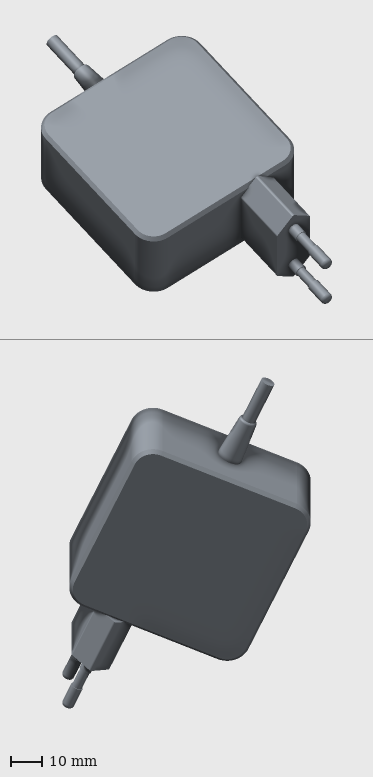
import cadquery as cq
import math

body_side = 62.0
body_height = 29.8
corner_radius = 7.5
rim_chamfer = 1.2

cable_diameter = 4.5
cable_length = 15.0
relief_length = 14.9
relief_base_diameter = 8.3
relief_tip_diameter = 6.1

plug_y = 12.4
plug_width = 13.2
plug_height = 33.3
plug_shoulder_height = 21.8
plug_ridge_rise = 0.3
plug_edge_radius = 0.8
plug_length = 19.0
plug_overlap = 0.3

pin_spacing = 19.0
pin_diameter = 4.0
neck_diameter = 3.4
collar_length = 3.9
neck_length = 6.6
pin_tip_radius = 1.3

overall_length = 129.5
body_end = body_side / 2
plug_end = body_end + plug_length
pin_length = overall_length - cable_length - relief_length - body_side - plug_length


def rod_along_x(start_x, length, diameter, y=0, z=0):
    """Solid cylinder running from start_x toward +X."""
    return cq.Workplane("YZ", origin=(start_x, y, z)).circle(diameter / 2).extrude(length)


def make_housing():
    box = cq.Workplane("XY").box(body_side, body_side, body_height)
    return box.edges("|Z").fillet(corner_radius).faces("<Z or >Z").chamfer(rim_chamfer)


def make_cable():
    relief_start = -body_end - relief_length
    base_radius = relief_base_diameter / 2
    tip_radius = relief_tip_diameter / 2
    cable_radius = cable_diameter / 2
    rounding = tip_radius - cable_radius
    arc_offset = rounding * math.sqrt(0.5)
    arc_middle = (relief_start + rounding - arc_offset, cable_radius + arc_offset)
    relief = (
        cq.Workplane("XY")
        .moveTo(relief_start, 0)
        .lineTo(relief_start, cable_radius)
        .threePointArc(arc_middle, (relief_start + rounding, tip_radius))
        .lineTo(-body_end, base_radius)
        .lineTo(-body_end, 0)
        .close()
        .revolve(360, (0, 0, 0), (1, 0, 0))
    )
    return relief.union(rod_along_x(relief_start - cable_length, cable_length, cable_diameter))


def make_plug_block():
    half_width = plug_width / 2
    shoulder_z = plug_shoulder_height / 2
    ridge_z = plug_height / 2 + plug_ridge_rise
    outline = [
        (0, ridge_z),
        (half_width, shoulder_z),
        (half_width, -shoulder_z),
        (0, -ridge_z),
        (-half_width, -shoulder_z),
        (-half_width, shoulder_z),
    ]
    block = (
        cq.Workplane("YZ", origin=(body_end - plug_overlap, plug_y, 0))
        .polyline(outline)
        .close()
        .extrude(plug_length + plug_overlap)
    )
    return block.edges("|X").fillet(plug_edge_radius)


def make_pin(z):
    neck_start = plug_end + collar_length
    tip_start = neck_start + neck_length
    tip_length = pin_length - collar_length - neck_length
    collar = rod_along_x(plug_end, collar_length, pin_diameter, plug_y, z)
    neck = rod_along_x(neck_start, neck_length, neck_diameter, plug_y, z)
    tip = rod_along_x(tip_start, tip_length, pin_diameter, plug_y, z)
    tip = tip.faces(">X").edges().fillet(pin_tip_radius)
    return collar.union(neck).union(tip)


result = make_housing().union(make_cable()).union(make_plug_block())
for pin_z in (-pin_spacing / 2, pin_spacing / 2):
    result = result.union(make_pin(pin_z))